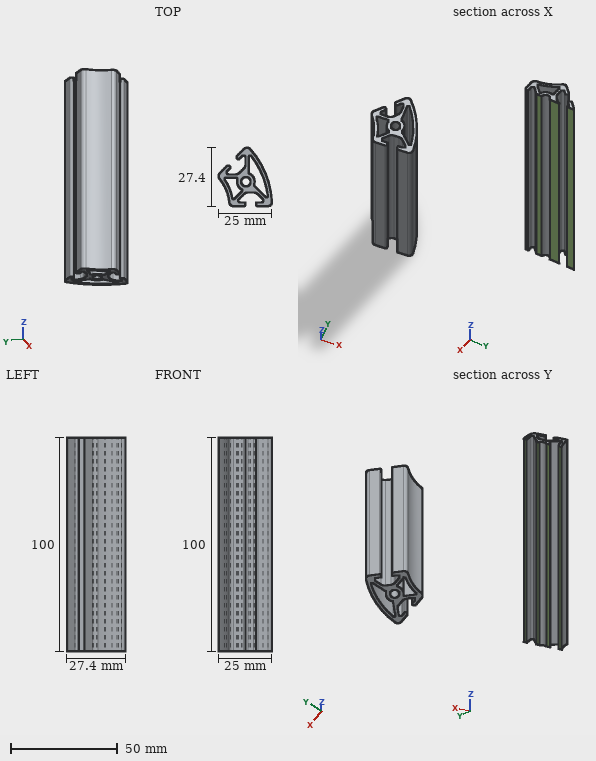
import cadquery as cq
import math

length = 100.0
segment_angle = 45.0
inner_radius = 20.0
outer_radius = 40.0
corner_fillet = 2.0

mid_radius = (inner_radius + outer_radius) / 2
bore_diameter = 4.3
core_diameter = 8.3

mouth_width = 5.0
lip_thickness = 1.8
slot_depth = 6.4
floor_width = 5.0
chamber_fillet = 0.9
floor_fillet = 3.0
outer_lip_fillet = 0.8
inner_lip_fillet = 0.3

curved_wall = 1.75
web_thickness = 1.65
convex_tip_fillet = 0.6
concave_cavity_fillet = 0.5

match_tolerance = 0.001


def ring_sector(small_radius, large_radius):
    """Full-length ring sector from the +X axis round to the segment angle."""
    half = math.radians(segment_angle / 2)
    full = math.radians(segment_angle)

    def polar(radius, angle):
        return (radius * math.cos(angle), radius * math.sin(angle))

    return (
        cq.Workplane("XY")
        .moveTo(small_radius, 0)
        .lineTo(large_radius, 0)
        .threePointArc(polar(large_radius, half), polar(large_radius, full))
        .lineTo(*polar(small_radius, full))
        .threePointArc(polar(small_radius, half), (small_radius, 0))
        .close()
        .extrude(length)
    )


def on_both_sides(side_shape):
    """Join a shape standing on the +X side with its copy on the slanted side."""
    mirrored = side_shape.mirror("XZ").rotate((0, 0, 0), (0, 0, 1), segment_angle)
    return side_shape.union(mirrored)


def slot():
    """Undercut slot with 45 degree flanks, opening at the +X side."""
    half_floor = floor_width / 2
    half_chamber = half_floor + slot_depth - lip_thickness
    chamber = (
        cq.Workplane("XY")
        .polyline([
            (mid_radius - half_chamber, lip_thickness),
            (mid_radius + half_chamber, lip_thickness),
            (mid_radius + half_floor, slot_depth),
            (mid_radius - half_floor, slot_depth),
        ])
        .close()
        .extrude(length)
    )
    chamber = chamber.edges("|Z and <Y").fillet(chamber_fillet)
    chamber = chamber.edges("|Z and >Y").fillet(floor_fillet)
    mouth = (
        cq.Workplane("XY")
        .rect(mouth_width, 2 * (lip_thickness + chamber_fillet))
        .extrude(length)
        .translate((mid_radius, 0, 0))
    )
    return chamber.union(mouth)


def axis_distance(shape):
    """Distance of a shape's centre from the Z axis."""
    centre = shape.Center()
    return math.hypot(centre.x, centre.y)


def round_lips(body, depth, radius):
    """Round the lip edges that lie at a depth below the straight sides."""
    lip_distances = [math.hypot(mid_radius + side * mouth_width / 2, depth) for side in (-1, 1)]

    def is_lip_edge(edge):
        centre = edge.Center()
        polar_angle = math.atan2(centre.y, centre.x)
        side_angle = min(polar_angle, math.radians(segment_angle) - polar_angle)
        distance = axis_distance(edge)
        at_depth = math.isclose(distance * math.sin(side_angle), depth, abs_tol=match_tolerance)
        at_mouth = any(math.isclose(distance, lip, abs_tol=match_tolerance) for lip in lip_distances)
        return at_depth and at_mouth

    return body.edges("|Z").filter(is_lip_edge).fillet(radius)


def web_wedge():
    """Right-angled wedge covering a slot and the two webs along its flanks."""
    peak = slot_depth + floor_width / 2 + web_thickness * math.sqrt(2)
    return (
        cq.Workplane("XY")
        .polyline([
            (mid_radius - peak, 0),
            (mid_radius + peak, 0),
            (mid_radius, peak),
        ])
        .close()
        .extrude(length)
    )


def core(diameter):
    """Full-length cylinder on the bore axis."""
    return (
        cq.Workplane("XY")
        .circle(diameter / 2)
        .extrude(length)
        .translate((mid_radius, 0, 0))
        .rotate((0, 0, 0), (0, 0, 1), segment_angle / 2)
    )


def cavities():
    """The two closed cavities, on the concave and convex side of the core."""
    space = ring_sector(inner_radius + curved_wall, outer_radius - curved_wall)
    space = space.cut(on_both_sides(web_wedge())).cut(core(core_diameter))
    by_distance = sorted(space.solids().vals(), key=axis_distance)
    concave = cq.Workplane(by_distance[0]).edges("|Z").fillet(concave_cavity_fillet)
    core_reach = mid_radius + core_diameter / 2
    convex = (
        cq.Workplane(by_distance[-1])
        .edges("|Z")
        .filter(lambda edge: axis_distance(edge) > core_reach)
        .fillet(convex_tip_fillet)
    )
    return concave.union(convex)


body = ring_sector(inner_radius, outer_radius).edges("|Z").fillet(corner_fillet)
body = body.cut(on_both_sides(slot()))
body = round_lips(body, 0, outer_lip_fillet)
body = round_lips(body, lip_thickness, inner_lip_fillet)
body = body.cut(cavities())
result = body.cut(core(bore_diameter))